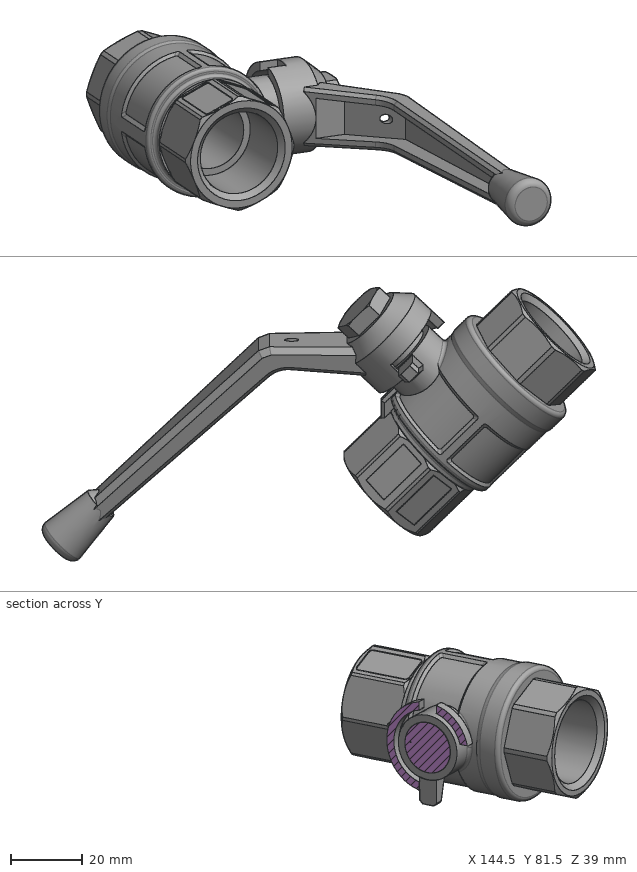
import cadquery as cq
import math


HALF_LENGTH = 34.5
FLANGE_R = 19.5
FLANGE_START = -19.6
FLANGE_END = -13.4
FLANGE_ROUND = 1.3
BARREL_R = 19.1
BARREL_START = -12.1
BARREL_END = 12.8
BARREL_ROUND = 1.0
NECK_R = 16.5
NECK_FILLET = 1.0
NECK_END = 15.0

SIDES = 8
LEFT_OCT_R = 16.5
LEFT_OCT_APOTHEM = 15.5
LEFT_END_R = 15.2
LEFT_CHAMFER = 0.8
RIGHT_OCT_R = 16.85
RIGHT_OCT_APOTHEM = 15.75
RIGHT_END_R = 15.75
RIGHT_INNER_R = 15.95
RIGHT_CHAMFER = 1.1

PORT_R = 10.0
THREAD_R = 12.0
THREAD_DEPTH = 20.0
BORE_CHAMFER = 1.6

POCKET_START = -5.0
POCKET_END = 10.7
POCKET_FLOOR_R = 18.25
POCKET_WALL_SLOPE = 1.0
POCKET_GAP_Y = 1.1
POCKET_GAP_Z = 2.0
POCKET_CORNER_R = 1.2
POCKET_OVERCUT = 1.0

PANEL_DEPTH = 0.3
TOP_PANEL_LENGTH = 17.3
TOP_PANEL_WIDTH = 9.0
TOP_PANEL_X = 24.65
TOP_PANEL_CORNER_R = 1.0
BOTTOM_PANEL_LENGTH = 15.0
BOTTOM_PANEL_WIDTH = 7.6
BOTTOM_PANEL_X = 24.4

STEM_R = 9.65
STEM_TOP = 25.7
STEM_FILLET = 1.0
POST_R = 7.5
LUG_REACH = 17.2
LUG_ROOT = 9.0
LUG_ROOT_Y = 20.0
LUG_TIP_Y = 22.1
LUG_TOP_Y = 25.4
LUG_CHAMFER = 1.0
RIB_BASE = 14.0
RIB_TOP = 20.3
RIB_SHOULDER_X = 14.9
RIB_TOE_X = 19.0
RIB_TOE_Y = 16.3
RIB_THICKNESS = 4.0
RIB_CHAMFER = 1.0

HUB_R = 13.5
HUB_BOTTOM = 23.0
HUB_SHOULDER = 34.9
HUB_TOP = 39.6
HUB_TOP_R = 9.6
SKIRT_R = 11.0
SKIRT_TOP = 28.5
NOTCH_HALF = 2.8
NUT_SIDES = 6
NUT_FLATS = 14.5
NUT_HEIGHT = 4.5
NUT_CHAMFER_HEIGHT = 0.35
NUT_END_R = 7.6

LEVER_HALF_AT_STEM = 9.1
LEVER_TAPER = 0.0425
LEVER_ROOT_X = 4.0
LEVER_ROOT_Y = 29.0
ARM_TOP_START = (7.3, 37.9)
BEND_TOP_START = (24.4, 55.0)
BEND_TOP_END = (27.5, 56.4)
ARM_UNDER_START = (10.2, 29.0)
BEND_UNDER_START = (24.8, 46.1)
BEND_UNDER_MID = (27.4, 48.2)
BEND_UNDER_END = (30.7, 49.1)
GRIP_END_X = 95.0
GRIP_TOP_SLOPE = 0.027
GRIP_UNDER_SLOPE = 0.044
TOP_CHAMFER = 1.9
UNDER_CHAMFER = 1.0
CHANNEL_WALL = 1.7
CHANNEL_RIM = 2.6
CHANNEL_START_X = 13.5
CHANNEL_END_X = 86.0
CHANNEL_EXIT_X = 92.0
CHANNEL_EXIT_Y = 48.5
CHANNEL_EXIT_R = 7.0
CHANNEL_CLEAR_Y = 47.5
HANG_HOLE_R = 1.35
HANG_HOLE_Y = 50.6

KNOB_Y = 55.0
KNOB_R = 7.0
KNOB_ROOT_X = 89.8
KNOB_ROOT_R = 3.2
KNOB_NECK_X = 92.2
KNOB_NECK_R = 5.1
KNOB_RIM_X = 107.6
KNOB_END_X = 110.0
KNOB_END_R = 5.0


def turned_about_x(points):
    """Solid of revolution about the pipe axis from (x, radius) points."""
    return cq.Workplane("XY").polyline(points).close().revolve(360, (0, 0, 0), (1, 0, 0))


def turned_about_y(points):
    """Solid of revolution about the stem axis from (radius, y) points."""
    return cq.Workplane("XY").polyline(points).close().revolve(360, (0, 0, 0), (0, 1, 0))


def stem_cylinder(radius, bottom, top):
    return turned_about_y([(0, bottom), (radius, bottom), (radius, top), (0, top)])


def octagon_prism(apothem, start, end):
    corner_diameter = 2 * apothem / math.cos(math.pi / SIDES)
    return cq.Workplane("YZ", origin=(start, 0, 0)).polygon(SIDES, corner_diameter).extrude(end - start)


def left_end():
    turned = turned_about_x([
        (-HALF_LENGTH, 0),
        (-HALF_LENGTH, LEFT_END_R),
        (-HALF_LENGTH + LEFT_CHAMFER, LEFT_OCT_R),
        (0, LEFT_OCT_R),
        (0, 0),
    ])
    return turned.intersect(octagon_prism(LEFT_OCT_APOTHEM, -HALF_LENGTH, 0))


def face_panel(angle, center_x, length, width, corner_radius):
    """Cutter for a panel on the octagon face whose normal is turned by angle from +Y about X."""
    cutter = cq.Workplane("XY").box(length, 2 * PANEL_DEPTH, width)
    if corner_radius > 0:
        cutter = cutter.edges("|Y").fillet(corner_radius)
    cutter = cutter.translate((center_x, RIGHT_OCT_APOTHEM, 0))
    return cutter.rotate((0, 0, 0), (1, 0, 0), angle)


def right_end():
    turned = turned_about_x([
        (0, 0),
        (0, NECK_R),
        (NECK_END, RIGHT_INNER_R),
        (NECK_END + RIGHT_CHAMFER, RIGHT_OCT_R),
        (HALF_LENGTH - RIGHT_CHAMFER, RIGHT_OCT_R),
        (HALF_LENGTH, RIGHT_END_R),
        (HALF_LENGTH, 0),
    ])
    end = turned.intersect(octagon_prism(RIGHT_OCT_APOTHEM, 0, HALF_LENGTH))
    half_face = 180 / SIDES
    for offset in (-half_face, half_face):
        end = end.cut(face_panel(90 + offset, TOP_PANEL_X, TOP_PANEL_LENGTH,
                                 TOP_PANEL_WIDTH, TOP_PANEL_CORNER_R))
        end = end.cut(face_panel(270 + offset, BOTTOM_PANEL_X, BOTTOM_PANEL_LENGTH,
                                 BOTTOM_PANEL_WIDTH, 0))
    return end


def barrel():
    profile = (
        cq.Workplane("XY")
        .moveTo(FLANGE_START, 0)
        .lineTo(FLANGE_START, FLANGE_R - FLANGE_ROUND)
        .radiusArc((FLANGE_START + FLANGE_ROUND, FLANGE_R), FLANGE_ROUND)
        .lineTo(FLANGE_END, FLANGE_R)
        .lineTo(BARREL_START, BARREL_R)
        .lineTo(BARREL_END - BARREL_ROUND, BARREL_R)
        .radiusArc((BARREL_END, BARREL_R - BARREL_ROUND), BARREL_ROUND)
        .lineTo(BARREL_END, NECK_R + NECK_FILLET)
        .radiusArc((BARREL_END + NECK_FILLET, NECK_R), -NECK_FILLET)
        .lineTo(NECK_END, NECK_R)
        .lineTo(NECK_END, 0)
        .close()
    )
    return profile.revolve(360, (0, 0, 0), (1, 0, 0))


def barrel_with_stem_foot():
    """Barrel joined to the lower stem, with a fillet around the stem foot."""
    joined = barrel().union(stem_cylinder(STEM_R, 0, STEM_TOP))
    return joined.edges("%BSPLINE").fillet(STEM_FILLET)


def pocket_cutter():
    """Cutter for the +Y +Z quadrant: a ring with sloping ends, trimmed by sloping side walls."""
    outer_r = FLANGE_R + POCKET_OVERCUT
    run = (outer_r - BARREL_R) * POCKET_WALL_SLOPE
    inset = (BARREL_R - POCKET_FLOOR_R) * POCKET_WALL_SLOPE
    ring = turned_about_x([
        (POCKET_START + inset, POCKET_FLOOR_R),
        (POCKET_START - run, outer_r),
        (POCKET_END + run, outer_r),
        (POCKET_END - inset, POCKET_FLOOR_R),
    ])
    root_r = POCKET_FLOOR_R - inset
    wedge = (
        cq.Workplane("YZ", origin=(POCKET_START - run, 0, 0))
        .polyline([
            (POCKET_GAP_Y + 2 * inset, root_r),
            (POCKET_GAP_Y - run, outer_r),
            (outer_r, outer_r),
            (outer_r, POCKET_GAP_Z - run),
            (root_r, POCKET_GAP_Z + 2 * inset),
        ])
        .close()
        .extrude(POCKET_END - POCKET_START + 2 * run)
    )
    return ring.intersect(wedge).edges("%HYPERBOLA").fillet(POCKET_CORNER_R)


def cut_pockets(body):
    upper = pocket_cutter()
    for cutter in (upper, upper.mirror("XZ")):
        body = body.cut(cutter).cut(cutter.mirror("XY"))
    return body


def bore():
    port = turned_about_x([
        (-HALF_LENGTH, 0),
        (-HALF_LENGTH, PORT_R),
        (HALF_LENGTH, PORT_R),
        (HALF_LENGTH, 0),
    ])
    thread = turned_about_x([
        (-HALF_LENGTH, 0),
        (-HALF_LENGTH, THREAD_R + BORE_CHAMFER),
        (-HALF_LENGTH + BORE_CHAMFER, THREAD_R),
        (-HALF_LENGTH + THREAD_DEPTH, THREAD_R),
        (-HALF_LENGTH + THREAD_DEPTH, 0),
    ])
    return port.union(thread).union(thread.mirror("YZ"))


def stem():
    return stem_cylinder(STEM_R, 0, STEM_TOP).union(stem_cylinder(POST_R, 0, HUB_TOP))


def stop_lug():
    return (
        cq.Workplane("YZ", origin=(-NOTCH_HALF, 0, 0))
        .polyline([
            (LUG_ROOT_Y, -LUG_ROOT),
            (LUG_TIP_Y, -LUG_REACH),
            (LUG_TOP_Y, -LUG_REACH),
            (LUG_TOP_Y, -LUG_ROOT),
        ])
        .close()
        .extrude(2 * NOTCH_HALF)
        .edges("(<Z and |Y) or (not (|X or |Y or |Z))")
        .chamfer(LUG_CHAMFER)
    )


def rib():
    """Rib from the stem over the barrel end down to the right octagon."""
    return (
        cq.Workplane("XY")
        .polyline([
            (0, RIB_TOE_Y),
            (0, RIB_TOP),
            (RIB_SHOULDER_X, RIB_TOP),
            (RIB_TOE_X, RIB_TOE_Y),
            (RIB_TOE_X, RIB_BASE),
            (0, RIB_BASE),
        ])
        .close()
        .extrude(RIB_THICKNESS / 2, both=True)
        .edges("(>Y and |X) or (not (|X or |Y or |Z))")
        .chamfer(RIB_CHAMFER)
    )


def hub():
    """Lever hub with a hollow skirt, notched on +Z and open over the -X -Z quarter turn."""
    shell = turned_about_y([
        (0, SKIRT_TOP),
        (SKIRT_R, SKIRT_TOP),
        (SKIRT_R, HUB_BOTTOM),
        (HUB_R, HUB_BOTTOM),
        (HUB_R, HUB_SHOULDER),
        (HUB_TOP_R, HUB_TOP),
        (0, HUB_TOP),
    ])
    height = SKIRT_TOP - HUB_BOTTOM
    notch = cq.Workplane("XY").box(2 * NOTCH_HALF, height, HUB_R, centered=(True, False, False))
    quarter = cq.Workplane("XY").box(2 * HUB_R, height, 2 * HUB_R, centered=False)
    quarter = quarter.translate((NOTCH_HALF - 2 * HUB_R, 0, NOTCH_HALF - 2 * HUB_R))
    return shell.cut(notch.union(quarter).translate((0, HUB_BOTTOM, 0)))


def nut():
    corner_r = NUT_FLATS / 2 / math.cos(math.pi / NUT_SIDES)
    hexagon = (
        cq.Workplane("XZ", origin=(0, HUB_TOP, 0))
        .polygon(NUT_SIDES, 2 * corner_r)
        .extrude(-NUT_HEIGHT)
    )
    top = HUB_TOP + NUT_HEIGHT
    chamfered = turned_about_y([
        (0, HUB_TOP),
        (corner_r, HUB_TOP),
        (corner_r, top - NUT_CHAMFER_HEIGHT),
        (NUT_END_R, top),
        (0, top),
    ])
    return hexagon.intersect(chamfered)


def lever_half_width(x):
    return LEVER_HALF_AT_STEM - LEVER_TAPER * x


def grip_top(x):
    return BEND_TOP_END[1] + GRIP_TOP_SLOPE * (x - BEND_TOP_END[0])


def lever_top(x):
    arm_top = x + BEND_TOP_START[1] - BEND_TOP_START[0]
    return min(arm_top, grip_top(x))


def grip_under(x):
    return BEND_UNDER_END[1] + GRIP_UNDER_SLOPE * (x - BEND_UNDER_END[0])


def plan_trapezoid(start, end, inset):
    """Tapered slab, wide at the stem, that bounds the lever or its channel sideways."""
    near = lever_half_width(start) - inset
    far = lever_half_width(end) - inset
    return (
        cq.Workplane("XZ")
        .polyline([(start, -near), (start, near), (end, far), (end, -far)])
        .close()
        .extrude(-2 * KNOB_Y)
    )


def is_upper_edge(edge):
    center = edge.Center()
    return center.y > lever_top(center.x) - UNDER_CHAMFER


def is_lower_edge(edge):
    center = edge.Center()
    return center.x > ARM_UNDER_START[0] and center.y < lever_top(center.x) - 2 * TOP_CHAMFER


def lever_bar():
    profile = (
        cq.Workplane("XY")
        .moveTo(LEVER_ROOT_X, LEVER_ROOT_Y)
        .lineTo(LEVER_ROOT_X, ARM_TOP_START[1] - ARM_TOP_START[0] + LEVER_ROOT_X)
        .lineTo(*BEND_TOP_START)
        .lineTo(*BEND_TOP_END)
        .lineTo(GRIP_END_X, grip_top(GRIP_END_X))
        .lineTo(GRIP_END_X, grip_under(GRIP_END_X))
        .lineTo(*BEND_UNDER_END)
        .threePointArc(BEND_UNDER_MID, BEND_UNDER_START)
        .lineTo(*ARM_UNDER_START)
        .close()
    )
    slab = profile.extrude(HUB_R, both=True)
    bar = slab.intersect(plan_trapezoid(LEVER_ROOT_X, GRIP_END_X, 0))
    bar = bar.faces(">Z or <Z").edges("not (|Y)").filter(is_upper_edge).chamfer(TOP_CHAMFER)
    return bar.edges("not (|Y or |Z)").filter(is_lower_edge).chamfer(UNDER_CHAMFER)


def channel():
    """Hollow along the underside, leaving a wall on top and a rim on both sides."""
    drop = CHANNEL_WALL * math.sqrt(2)
    arm_line = BEND_TOP_START[1] - BEND_TOP_START[0] - drop
    corner_y = BEND_TOP_END[1] - CHANNEL_WALL
    floor_end_y = grip_top(CHANNEL_END_X) - CHANNEL_WALL
    profile = (
        cq.Workplane("XY")
        .moveTo(CHANNEL_START_X, ARM_UNDER_START[1])
        .lineTo(CHANNEL_START_X, CHANNEL_START_X + arm_line)
        .lineTo(corner_y - arm_line, corner_y)
        .lineTo(CHANNEL_END_X, floor_end_y)
        .radiusArc((CHANNEL_EXIT_X, CHANNEL_EXIT_Y), CHANNEL_EXIT_R)
        .lineTo(BEND_UNDER_END[0], CHANNEL_CLEAR_Y)
        .close()
    )
    slab = profile.extrude(HUB_R, both=True)
    return slab.intersect(plan_trapezoid(LEVER_ROOT_X, GRIP_END_X, CHANNEL_RIM))


def knob():
    profile = (
        cq.Workplane("XY", origin=(0, KNOB_Y, 0))
        .moveTo(KNOB_ROOT_X, 0)
        .lineTo(KNOB_ROOT_X, KNOB_ROOT_R)
        .lineTo(KNOB_NECK_X, KNOB_NECK_R)
        .lineTo(KNOB_RIM_X, KNOB_R)
        .radiusArc((KNOB_END_X, KNOB_END_R), KNOB_END_X - KNOB_RIM_X)
        .lineTo(KNOB_END_X, 0)
        .close()
    )
    return profile.revolve(360, (0, 0, 0), (1, 0, 0))


def lever():
    bar = lever_bar()
    hang_hole = (
        cq.Workplane("YZ", origin=(LEVER_ROOT_X, HANG_HOLE_Y, 0))
        .circle(HANG_HOLE_R)
        .extrude(BEND_UNDER_END[0] - LEVER_ROOT_X)
    )
    return bar.union(knob()).cut(channel()).cut(hang_hole)


def valve():
    body = cut_pockets(barrel_with_stem_foot()).union(left_end()).union(right_end())
    body = body.union(rib()).union(stem()).cut(bore())
    return body.union(stop_lug()).union(hub()).union(nut()).union(lever())


result = valve()